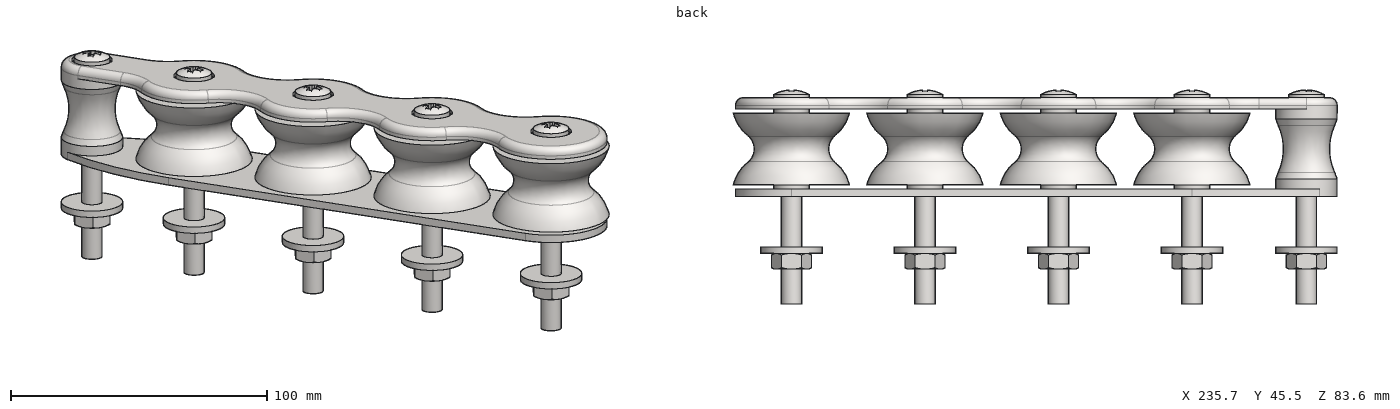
import cadquery as cq
import math

LENGTH = 235.7

NUT_BOTTOM_Z = 13.7
NUT_HEIGHT = 6.1
WASHER_THICKNESS = 2.5
BASE_BOTTOM_Z = 42.0
BASE_THICKNESS = 3.0
COVER_BOTTOM_Z = 76.1
COVER_THICKNESS = 4.5
TOTAL_HEIGHT = 83.7

ROLLER_COUNT = 4
ROLLER_PITCH = 52.0
ROLLER_DIAMETER = 45.5
ROLLER_WAIST_DIAMETER = 29.2
ROLLER_FLARE_DIAMETER = 33.5
ROLLER_FLARE_BULGE = 1.0
ROLLER_HEIGHT = 28.0
ROLLER_GROOVE_HEIGHT = 10.0
HUB_DIAMETER = 14.0

POST_DIAMETER = 24.0
POST_WAIST_DIAMETER = 18.2
POST_NECK_DIAMETER = 22.2
POST_BARREL_HEIGHT = 23.3
POST_NECK_HEIGHT = 18.5

PLATE_WIDTH = 43.8
COVER_FILLET = 3.0

BOLT_DIAMETER = 8.0
HEAD_DIAMETER = 14.0
HEAD_RIM_HEIGHT = 1.2
HEAD_RECESS_DIAMETER = 15.8
HEAD_RECESS_DEPTH = 1.5
CROSS_LENGTH = 6.8
CROSS_WIDTH = 2.1
CROSS_DEPTH = 2.1
POST_CROSS_ANGLE = 17.0
WASHER_DIAMETER = 24.0
NUT_ACROSS_FLATS = 13.7
NUT_CHAMFER_ANGLE = 30.0

post_radius = POST_DIAMETER / 2
plate_radius = PLATE_WIDTH / 2
last_roller_x = LENGTH - ROLLER_DIAMETER / 2
roller_xs = [last_roller_x - ROLLER_PITCH * i for i in reversed(range(ROLLER_COUNT))]
first_roller_x = roller_xs[0]
post_x = post_radius
base_top_z = BASE_BOTTOM_Z + BASE_THICKNESS
cover_top_z = COVER_BOTTOM_Z + COVER_THICKNESS
mid_z = (base_top_z + COVER_BOTTOM_Z) / 2


def disc(x, diameter, bottom_z, top_z):
    """Upright cylinder centred at (x, 0)."""
    return cq.Workplane("XY", origin=(x, 0, bottom_z)).circle(diameter / 2).extrude(top_z - bottom_z)


def make_base_plate():
    """Flat plate whose sides sweep in a wide arc from full width down to the nose."""
    run = first_roller_x - post_x
    sweep_radius = (run**2 + plate_radius**2 - post_radius**2) / (2 * (plate_radius - post_radius))
    sweep_y = plate_radius - sweep_radius
    nose_angle = math.atan2(-sweep_y, -run)
    nose_end_x = post_x + post_radius * math.cos(nose_angle)
    nose_end_y = post_radius * math.sin(nose_angle)
    sweep_mid_angle = (nose_angle + math.pi / 2) / 2
    sweep_mid_x = first_roller_x + sweep_radius * math.cos(sweep_mid_angle)
    sweep_mid_y = sweep_y + sweep_radius * math.sin(sweep_mid_angle)
    return (
        cq.Workplane("XY", origin=(0, 0, BASE_BOTTOM_Z))
        .moveTo(nose_end_x, nose_end_y)
        .threePointArc((sweep_mid_x, sweep_mid_y), (first_roller_x, plate_radius))
        .lineTo(last_roller_x, plate_radius)
        .threePointArc((last_roller_x + plate_radius, 0), (last_roller_x, -plate_radius))
        .lineTo(first_roller_x, -plate_radius)
        .threePointArc((sweep_mid_x, -sweep_mid_y), (nose_end_x, -nose_end_y))
        .close()
        .extrude(BASE_THICKNESS)
    )


def make_cover_plate():
    """Scalloped plate: lobes over the rollers joined by necks as wide as the post."""
    half_pitch = ROLLER_PITCH / 2
    neck_radius = (half_pitch**2 + post_radius**2 - plate_radius**2) / (2 * (plate_radius - post_radius))
    neck_center_y = post_radius + neck_radius
    joint_angle = math.atan2(neck_center_y, half_pitch)
    joint_dx = plate_radius * math.cos(joint_angle)
    joint_y = plate_radius * math.sin(joint_angle)
    entry_x = first_roller_x - half_pitch
    entry_angle = (joint_angle - math.pi / 2) / 2 - joint_angle
    entry_mid_x = entry_x + neck_radius * math.cos(entry_angle)
    entry_mid_y = neck_center_y + neck_radius * math.sin(entry_angle)

    edges = []

    def arc(*points):
        edges.append(cq.Edge.makeThreePointArc(*[cq.Vector(x, y, COVER_BOTTOM_Z) for x, y in points]))

    def line(*points):
        edges.append(cq.Edge.makeLine(*[cq.Vector(x, y, COVER_BOTTOM_Z) for x, y in points]))

    for side in (1, -1):
        neck_y = side * post_radius
        lobe_y = side * plate_radius
        join_y = side * joint_y
        line((post_x, neck_y), (entry_x, neck_y))
        arc((entry_x, neck_y), (entry_mid_x, side * entry_mid_y), (first_roller_x - joint_dx, join_y))
        for x in roller_xs[:-1]:
            lobe_end = (x + joint_dx, join_y)
            arc((x - joint_dx, join_y), (x, lobe_y), lobe_end)
            arc(lobe_end, (x + half_pitch, neck_y), (x + ROLLER_PITCH - joint_dx, join_y))

    tail_x = last_roller_x - joint_dx
    arc((post_x, post_radius), (post_x - post_radius, 0), (post_x, -post_radius))
    arc((tail_x, joint_y), (last_roller_x + plate_radius, 0), (tail_x, -joint_y))
    outline = cq.Wire.assembleEdges(edges)
    plate = cq.Workplane(cq.Solid.extrudeLinear(outline, [], cq.Vector(0, 0, COVER_THICKNESS)))
    return plate.faces(">Z").edges().fillet(COVER_FILLET)


def make_roller(x):
    """Waisted roller with flared ends, on a hub that spans the two plates."""
    rim = ROLLER_DIAMETER / 2
    flare = ROLLER_FLARE_DIAMETER / 2
    half_height = ROLLER_HEIGHT / 2
    half_groove = ROLLER_GROOVE_HEIGHT / 2
    flare_length = math.hypot(rim - flare, half_height - half_groove)
    bulge_r = (rim + flare) / 2 + ROLLER_FLARE_BULGE * (half_height - half_groove) / flare_length
    bulge_z = (half_height + half_groove) / 2 - ROLLER_FLARE_BULGE * (rim - flare) / flare_length
    body = (
        cq.Workplane("XZ", origin=(x, 0, mid_z))
        .moveTo(0, -half_height)
        .lineTo(rim, -half_height)
        .threePointArc((bulge_r, -bulge_z), (flare, -half_groove))
        .threePointArc((ROLLER_WAIST_DIAMETER / 2, 0), (flare, half_groove))
        .threePointArc((bulge_r, bulge_z), (rim, half_height))
        .lineTo(0, half_height)
        .close()
        .revolve(360, (0, 0), (0, 1))
    )
    return body.union(disc(x, HUB_DIAMETER, base_top_z, COVER_BOTTOM_Z))


def make_post():
    """Waisted end post that also forms the rounded nose of the base plate."""
    neck = POST_NECK_DIAMETER / 2
    half_barrel = POST_BARREL_HEIGHT / 2
    half_neck = POST_NECK_HEIGHT / 2
    bottom = BASE_BOTTOM_Z - mid_z
    top = COVER_BOTTOM_Z - mid_z
    return (
        cq.Workplane("XZ", origin=(post_x, 0, mid_z))
        .moveTo(0, bottom)
        .lineTo(post_radius, bottom)
        .lineTo(post_radius, -half_barrel)
        .lineTo(neck, -half_neck)
        .threePointArc((POST_WAIST_DIAMETER / 2, 0), (neck, half_neck))
        .lineTo(post_radius, half_barrel)
        .lineTo(post_radius, top)
        .lineTo(0, top)
        .close()
        .revolve(360, (0, 0), (0, 1))
    )


def make_nut(x):
    """Hexagon nut with a corner on the X axis and conical corner chamfers on both faces."""
    flat_radius = NUT_ACROSS_FLATS / 2
    corner_radius = flat_radius / math.cos(math.pi / 6)
    chamfer_height = (corner_radius - flat_radius) * math.tan(math.radians(NUT_CHAMFER_ANGLE))
    hexagon = (
        cq.Workplane("XY", origin=(x, 0, NUT_BOTTOM_Z))
        .polygon(6, 2 * corner_radius)
        .extrude(NUT_HEIGHT)
    )
    envelope = (
        disc(x, 2 * corner_radius, NUT_BOTTOM_Z, NUT_BOTTOM_Z + NUT_HEIGHT)
        .edges()
        .chamfer(chamfer_height, corner_radius - flat_radius)
    )
    return hexagon.intersect(envelope)


def make_bolt(x, cross_angle):
    """Bolt with a domed cross-recess head, plus its washer and nut."""
    head_radius = HEAD_DIAMETER / 2
    rim_z = cover_top_z + HEAD_RIM_HEIGHT
    dome_height = TOTAL_HEIGHT - rim_z
    dome_radius = (head_radius**2 + dome_height**2) / (2 * dome_height)
    dome = cq.Workplane("XY", origin=(x, 0, TOTAL_HEIGHT - dome_radius)).sphere(dome_radius)
    head = disc(x, HEAD_DIAMETER, cover_top_z - HEAD_RECESS_DEPTH, TOTAL_HEIGHT).intersect(dome)
    cross = (
        cq.Workplane("XY", origin=(x, 0, TOTAL_HEIGHT))
        .transformed(rotate=(0, 0, cross_angle))
        .rect(CROSS_LENGTH, CROSS_WIDTH)
        .extrude(-CROSS_DEPTH)
        .union(
            cq.Workplane("XY", origin=(x, 0, TOTAL_HEIGHT))
            .transformed(rotate=(0, 0, cross_angle))
            .rect(CROSS_WIDTH, CROSS_LENGTH)
            .extrude(-CROSS_DEPTH)
        )
    )
    shank = disc(x, BOLT_DIAMETER, 0, cover_top_z - HEAD_RECESS_DEPTH)
    washer_bottom_z = NUT_BOTTOM_Z + NUT_HEIGHT
    washer = disc(x, WASHER_DIAMETER, washer_bottom_z, washer_bottom_z + WASHER_THICKNESS)
    return head.cut(cross).union(shank).union(washer).union(make_nut(x))


result = make_base_plate().union(make_post()).union(make_cover_plate())
for x in roller_xs:
    result = result.union(make_roller(x))
for x in [post_x] + roller_xs:
    result = result.cut(disc(x, HEAD_RECESS_DIAMETER, cover_top_z - HEAD_RECESS_DEPTH, cover_top_z))
    result = result.union(make_bolt(x, POST_CROSS_ANGLE if x == post_x else 0))